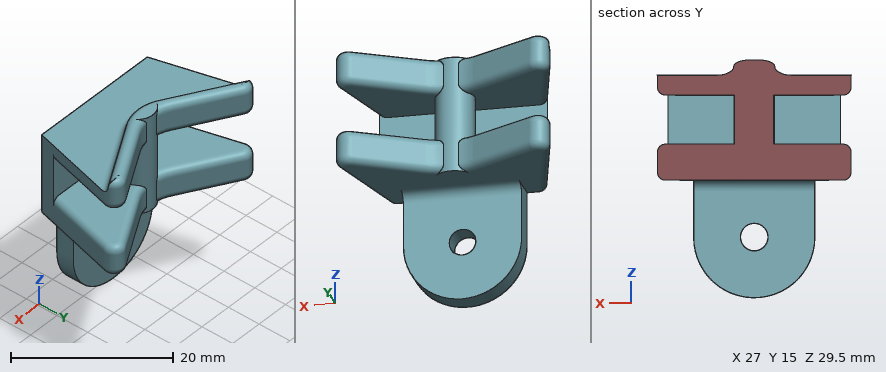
import cadquery as cq
import math

width = 27.0
depth = 15.0
height = 29.5
edge_radius = 1.0

back_width = 20.0
tip_radius = 1.5
arm_angle = math.radians(30)
valley_radius = 6.02
wall_thickness = 2.5

lower_plate_bottom = 14.48
plate_height = 4.5
lower_plate_top = lower_plate_bottom + plate_height
upper_plate_bottom = height - plate_height
ridge_height = 2 * edge_radius
ridge_width = 2 * edge_radius
deck_height = height - ridge_height

pin_diameter = 5.0
pin_y = 7.0

tongue_width = 15.0
tongue_thickness = 3.0
hole_diameter = 3.35
tongue_fillet = 1.33
tongue_radius = tongue_width / 2
label_strip_start = 5.3
label_strip_depth = 0.3

tip_x = width / 2 - tip_radius
tip_y = depth - tip_radius
run = tip_x - back_width / 2
side_angle = math.atan2(tip_y, run) - math.asin(tip_radius / math.hypot(run, tip_y))

valley_y = tip_y + tip_radius / math.cos(arm_angle) - tip_x * math.tan(arm_angle)


def on_circle(center, radius, angle):
    """Point on a circle in plan, at an angle from the +X axis."""
    return (center[0] + radius * math.cos(angle), center[1] + radius * math.sin(angle))


def mirrored(point):
    """Plan point reflected to the other side of X = 0."""
    return (-point[0], point[1])


def body_prism(bottom, top):
    """Plan outline of the clamp body, extruded between two heights."""
    tip = (tip_x, tip_y)
    side_normal = side_angle - math.pi / 2
    front_normal = math.pi / 2 + arm_angle
    back_corner = (back_width / 2, 0)
    side_end = on_circle(tip, tip_radius, side_normal)
    tip_middle = on_circle(tip, tip_radius, (side_normal + front_normal) / 2)
    front_start = on_circle(tip, tip_radius, front_normal)
    valley_center = (0, valley_y + valley_radius / math.cos(arm_angle))
    valley_end = on_circle(valley_center, valley_radius, arm_angle - math.pi / 2)
    valley_bottom = on_circle(valley_center, valley_radius, -math.pi / 2)
    return (
        cq.Workplane("XY", origin=(0, 0, bottom))
        .moveTo(*mirrored(back_corner))
        .lineTo(*back_corner)
        .lineTo(*side_end)
        .threePointArc(tip_middle, front_start)
        .lineTo(*valley_end)
        .threePointArc(valley_bottom, mirrored(valley_end))
        .lineTo(*mirrored(front_start))
        .threePointArc(mirrored(tip_middle), mirrored(side_end))
        .close()
        .extrude(top - bottom)
    )


def rounded_plate(bottom):
    """Plate with rounded edges everywhere but along the flat back face."""
    plate = body_prism(bottom, bottom + plate_height)
    return plate.faces("<Z or >Z").edges("not(<Y)").fillet(edge_radius)


def ridge_envelope():
    """Oversized slab carrying a V-shaped ridge with a rounded crest and foot."""
    slab = cq.Workplane("XY").box(2 * width, 2 * width, 2 * deck_height)

    arc_center = (0, valley_y + (valley_radius - ridge_width) / math.cos(arm_angle))
    arc_end = on_circle(arc_center, valley_radius, arm_angle - math.pi / 2)
    arc_bottom = on_circle(arc_center, valley_radius, -math.pi / 2)
    arm_end = on_circle(arc_end, width, arm_angle)
    path = (
        cq.Workplane("XY", origin=(0, 0, deck_height))
        .moveTo(*mirrored(arm_end))
        .lineTo(*mirrored(arc_end))
        .threePointArc(arc_bottom, arc_end)
        .lineTo(*arm_end)
    )

    section_plane = cq.Plane(
        origin=(*mirrored(arm_end), deck_height),
        xDir=(math.sin(arm_angle), math.cos(arm_angle), 0),
        normal=(math.cos(arm_angle), -math.sin(arm_angle), 0),
    )
    ridge = (
        cq.Workplane(section_plane)
        .moveTo(-edge_radius, 0)
        .radiusArc((0, edge_radius), -edge_radius)
        .radiusArc((edge_radius, ridge_height), edge_radius)
        .lineTo(2 * ridge_width, ridge_height)
        .lineTo(2 * ridge_width, -edge_radius)
        .lineTo(-edge_radius, -edge_radius)
        .close()
        .sweep(path)
    )
    return slab.union(ridge)


def wall():
    """Back wall joining the two plates."""
    overlap = plate_height / 2
    bottom = lower_plate_top - overlap
    top = upper_plate_bottom + overlap
    back_region = cq.Workplane("XY").box(width, 2 * wall_thickness, 2 * height)
    return body_prism(bottom, top).intersect(back_region)


def pin():
    """Round pin running through both plates, up to the ridge crest."""
    return (
        cq.Workplane("XY", origin=(0, pin_y, lower_plate_bottom))
        .circle(pin_diameter / 2)
        .extrude(height - lower_plate_bottom)
    )


def tongue():
    """Round-ended tongue; it reaches into the lower plate for a sound joint."""
    top = lower_plate_bottom + plate_height / 2
    profile = (
        cq.Workplane("XZ")
        .moveTo(-tongue_radius, top)
        .lineTo(-tongue_radius, tongue_radius)
        .threePointArc((0, 0), (tongue_radius, tongue_radius))
        .lineTo(tongue_radius, top)
        .close()
    )
    return profile.extrude(-tongue_thickness)


def tongue_hole():
    """Mounting hole concentric with the round end of the tongue."""
    return (
        cq.Workplane("XZ")
        .center(0, tongue_radius)
        .circle(hole_diameter / 2)
        .extrude(-tongue_thickness)
    )


def label_strip():
    """Shallow recess along the +X edge of the tongue's back face."""
    strip_width = tongue_radius - label_strip_start
    return (
        cq.Workplane("XY", origin=(label_strip_start, 0, 0))
        .box(strip_width, label_strip_depth, lower_plate_bottom, centered=False)
    )


lower_plate = rounded_plate(lower_plate_bottom)
upper_plate = rounded_plate(upper_plate_bottom)
clamp = lower_plate.union(upper_plate).union(wall()).union(pin())
result = clamp.intersect(ridge_envelope()).union(tongue())

corner_point = (0, tongue_thickness, lower_plate_bottom)
result = result.edges(cq.NearestToPointSelector(corner_point)).fillet(tongue_fillet)

result = result.cut(tongue_hole()).cut(label_strip())